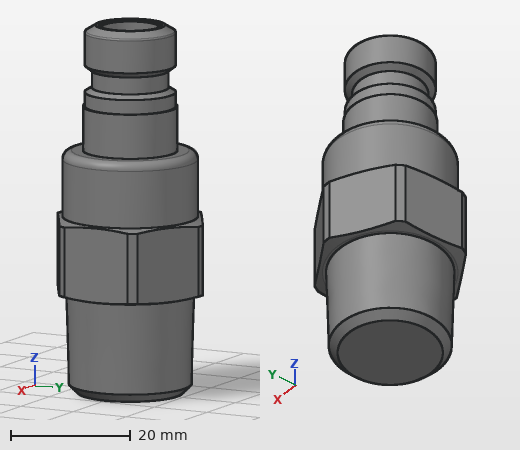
import cadquery as cq
import math

total_length = 62.5
thread_chamfer = 1.5
hex_bottom = 17.0
hex_top = 30.0
body_top = 41.2
shank_top = 48.7
collar_chamfer_bottom = 51.1
neck_bottom = 51.9
neck_top = 54.75
head_bottom = 55.7

thread_end_diameter = 20.6
thread_root_diameter = 21.5
body_diameter = 22.7
shank_diameter = 15.8
head_diameter = 15.25
neck_diameter = 12.8
rim_diameter = 11.55

across_flats = 24.0
across_corners = 26.8
hex_crown_angle = 15.0

body_fillet = 1.5
nose_angle = 31.0
nose_fillet = 0.4

bore_diameter = 9.5
bore_depth = 37.5
mouth_diameter = 10.7
mouth_depth = 0.3


def circle_at(height):
    """Selector for the circular edges lying at one height."""
    reach = across_corners / 2
    half_band = 0.03
    return cq.selectors.BoxSelector(
        (-reach, -reach, height - half_band), (reach, reach, height + half_band), boundingbox=True
    )


def turned_body():
    """Solid of revolution with all the turned steps of the nipple."""
    head_radius = head_diameter / 2
    rim_radius = rim_diameter / 2
    nose_bottom = total_length - (head_radius - rim_radius) * math.tan(math.radians(nose_angle))
    profile = [
        (0, 0),
        (thread_end_diameter / 2 - thread_chamfer, 0),
        (thread_end_diameter / 2, thread_chamfer),
        (thread_root_diameter / 2, hex_bottom),
        (body_diameter / 2, hex_bottom),
        (body_diameter / 2, body_top),
        (shank_diameter / 2, body_top),
        (shank_diameter / 2, shank_top),
        (head_radius, shank_top),
        (head_radius, collar_chamfer_bottom),
        (neck_diameter / 2, neck_bottom),
        (neck_diameter / 2, neck_top),
        (head_radius, head_bottom),
        (head_radius, nose_bottom),
        (rim_radius, total_length),
        (0, total_length),
    ]
    outermost = cq.selectors.RadiusNthSelector(-1)
    body = cq.Workplane("XZ").polyline(profile).close().revolve(360, (0, 0), (0, 1))
    body = body.edges(circle_at(body_top)).edges(outermost).fillet(body_fillet)
    return body.edges(circle_at(nose_bottom)).fillet(nose_fillet)


def wrench_hexagon():
    """Hexagon with flats facing X, rounded corners and crowned ends."""
    hexagon = (
        cq.Workplane("XY", origin=(0, 0, hex_bottom))
        .polygon(6, across_flats, circumscribed=True)
        .extrude(hex_top - hex_bottom)
    )
    crown_radius = body_diameter / 2
    outer_radius = across_corners / 2
    crown_drop = (outer_radius - crown_radius) * math.tan(math.radians(hex_crown_angle))
    envelope = (
        cq.Workplane("XZ")
        .polyline([
            (0, hex_bottom),
            (crown_radius, hex_bottom),
            (outer_radius, hex_bottom + crown_drop),
            (outer_radius, hex_top - crown_drop),
            (crown_radius, hex_top),
            (0, hex_top),
        ])
        .close()
        .revolve(360, (0, 0), (0, 1))
    )
    return hexagon.intersect(envelope)


def bore():
    """Blind bore with a shallow counterbore at its mouth."""
    main = (
        cq.Workplane("XY", origin=(0, 0, total_length - bore_depth))
        .circle(bore_diameter / 2)
        .extrude(bore_depth)
    )
    mouth = (
        cq.Workplane("XY", origin=(0, 0, total_length - mouth_depth))
        .circle(mouth_diameter / 2)
        .extrude(mouth_depth)
    )
    return main.union(mouth)


result = turned_body().union(wrench_hexagon()).cut(bore())